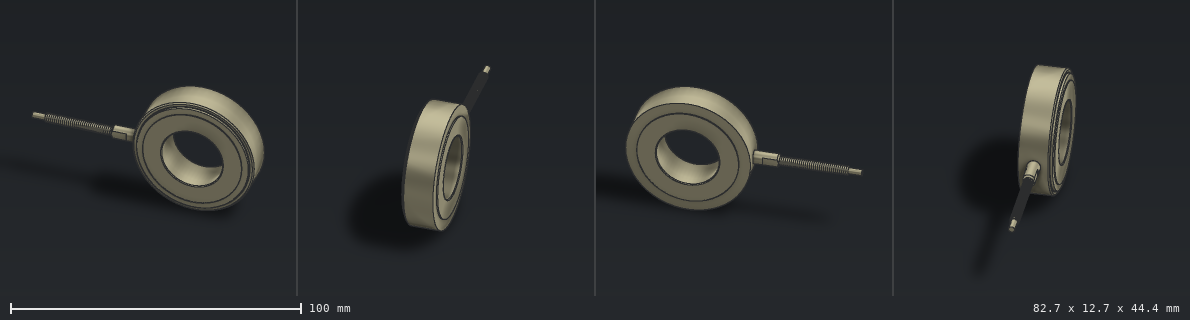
import cadquery as cq
body_diameter = 44.4
body_back_y = 5.6
body_length = 11.0
body_chamfer = 0.5
shoulder_radius = 20.4
shoulder_height = 0.75
relief_groove_width = 0.3
relief_groove_depth = 0.25
pad_radius = 18.1
front_pad_height = 0.4
back_pad_height = 0.5
bore_radius = 11.2
bore_chamfer = 0.3

overall_length = 82.7
cable_diameter = 2.2
cable_stub_length = 4.8
sleeve_radius = 1.65
sleeve_visible_length = 24.3
rib_pitch = 0.72
rib_count = 34
rib_groove_depth = 0.25
fitting_radius = 2.4
fitting_chamfer = 0.7
fitting_flat_length = 5.8
fitting_across_flats = 3.9

body_radius = body_diameter / 2
cable_radius = cable_diameter / 2
body_front_y = body_back_y - body_length
shoulder_face_y = body_front_y - shoulder_height
front_pad_y = shoulder_face_y - front_pad_height
back_pad_y = body_back_y + back_pad_height
cable_end_x = body_radius - overall_length
sleeve_start_x = cable_end_x + cable_stub_length
fitting_start_x = sleeve_start_x + sleeve_visible_length
cable_root_x = -(bore_radius + body_radius) / 2


def y_disc(radius, front_y, back_y):
    """Disc about the Y axis between two Y positions."""
    return cq.Workplane("XZ", origin=(0, back_y, 0)).circle(radius).extrude(back_y - front_y)


def x_rod(radius, start_x, end_x):
    """Rod about the X axis between two X positions."""
    return cq.Workplane("YZ", origin=(start_x, 0, 0)).circle(radius).extrude(end_x - start_x)


def make_body():
    """Stepped ring with a chamfered rim and bore, and a narrow groove around the shoulder."""
    rim = y_disc(body_radius, body_front_y, body_back_y).faces("<Y").chamfer(body_chamfer)
    relief_radius = shoulder_radius + relief_groove_width
    relief = y_disc(relief_radius, body_front_y, body_front_y + relief_groove_depth)
    shoulder = y_disc(shoulder_radius, shoulder_face_y, body_back_y)
    pads = y_disc(pad_radius, front_pad_y, back_pad_y)
    bore = y_disc(bore_radius, front_pad_y, back_pad_y)
    ring = rim.cut(relief).union(shoulder).union(pads).cut(bore)
    bore_edges = ring.faces("<Y or >Y").edges(cq.selectors.RadiusNthSelector(0))
    return bore_edges.chamfer(bore_chamfer)


def make_fitting():
    """Round cable fitting with two wrench flats facing -Y and +Y."""
    fitting = x_rod(fitting_radius, fitting_start_x, cable_root_x)
    fitting = fitting.faces("<X").chamfer(fitting_chamfer)
    flat_cutter = cq.Workplane("XY").box(
        fitting_flat_length, fitting_radius, 2 * fitting_radius, centered=(False, True, True)
    )
    cutter_y = (fitting_across_flats + fitting_radius) / 2
    for side in (-1, 1):
        fitting = fitting.cut(flat_cutter.translate((fitting_start_x, side * cutter_y, 0)))
    return fitting


def make_sleeve():
    """Flexible sleeve made of rounded ribs, its last rib ending inside the fitting."""
    root_radius = sleeve_radius - rib_groove_depth
    profile = cq.Workplane("XZ").moveTo(sleeve_start_x, 0).lineTo(sleeve_start_x, root_radius)
    for rib in range(rib_count):
        rib_start_x = sleeve_start_x + rib * rib_pitch
        rib_crown = (rib_start_x + rib_pitch / 2, sleeve_radius)
        rib_end = (rib_start_x + rib_pitch, root_radius)
        profile = profile.threePointArc(rib_crown, rib_end)
    profile = profile.lineTo(sleeve_start_x + rib_count * rib_pitch, 0).close()
    return profile.revolve(360, (0, 0, 0), (1, 0, 0))


cable = x_rod(cable_radius, cable_end_x, cable_root_x)
result = make_body().union(make_fitting()).union(make_sleeve()).union(cable)